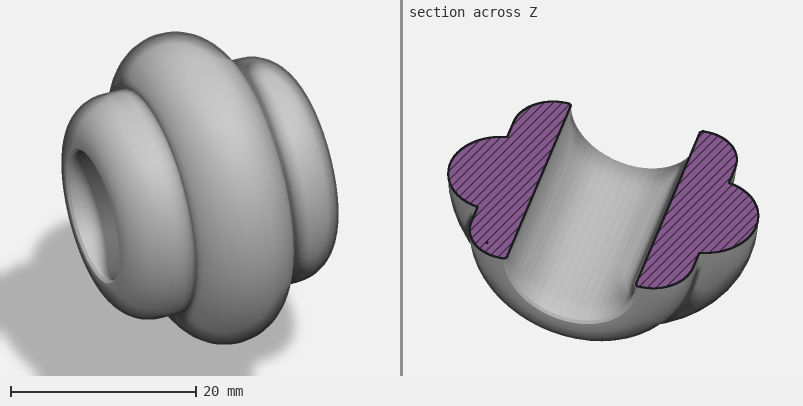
import cadquery as cq

outer_radius = 17.25
body_diameter = 25.0
body_length = 25.0
edge_round = 4.5
bead_width = 11.5
bore_diameter = 14.5
bore_chamfer = 0.28

body_radius = body_diameter / 2
bead_radius = bead_width / 2
bead_center_radius = outer_radius - bead_radius


def make_body():
    """Cylindrical sleeve blank with generously rounded ends."""
    body = cq.Workplane("XZ").circle(body_radius).extrude(body_length / 2, both=True)
    return body.edges("%CIRCLE").fillet(edge_round)


def make_bead():
    """Ring around the middle of the sleeve with a half-round rim."""
    profile = (
        cq.Workplane("XY")
        .moveTo(0, -bead_radius)
        .lineTo(bead_center_radius, -bead_radius)
        .threePointArc((outer_radius, 0), (bead_center_radius, bead_radius))
        .lineTo(0, bead_radius)
        .close()
    )
    return profile.revolve(360, (0, 0, 0), (0, 1, 0))


def make_bore():
    """Through bore that widens into a small chamfer at both ends."""
    half_length = body_length / 2
    bore_radius = bore_diameter / 2
    mouth_radius = bore_radius + bore_chamfer
    chamfer_start = half_length - bore_chamfer
    profile = cq.Workplane("XY").polyline([
        (0, -half_length),
        (mouth_radius, -half_length),
        (bore_radius, -chamfer_start),
        (bore_radius, chamfer_start),
        (mouth_radius, half_length),
        (0, half_length),
    ]).close()
    return profile.revolve(360, (0, 0, 0), (0, 1, 0))


result = make_body().union(make_bead()).cut(make_bore())